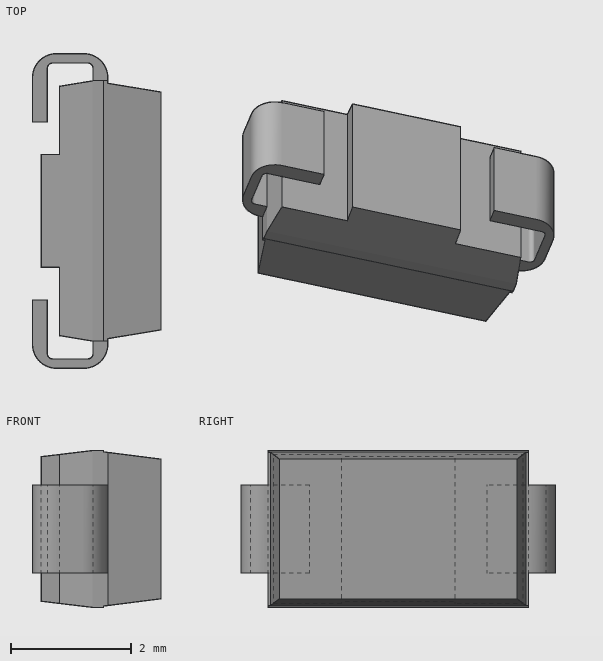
import cadquery as cq

total_length = 5.21
total_height = 2.13

belt_length = 4.31
belt_width = 2.60
belt_start = 1.00
belt_thickness = 0.18
end_slope = 0.165
front_side_slope = 0.120
back_side_slope = 0.127
pedestal_front = 0.145
pedestal_length = 1.87
body_front = 0.445

lead_width = 1.46
lead_thickness = 0.25
web_thickness = 0.16
foot_length = 1.135
outer_bend_radius = 0.40
inner_bend_radius = 0.08

lead_exit_back = belt_start + lead_thickness


def rectangle_at(x, length, width):
    """Return a Y by Z rectangle wire in the plane at height x."""
    return cq.Workplane("YZ", origin=(x, 0, 0)).rect(length, width).val()


def tapered_block(x_far, y_slope, z_slope):
    """Block that narrows from the belt section to x_far by the given slopes."""
    run = abs(x_far - belt_start)
    base = rectangle_at(belt_start, belt_length, belt_width)
    far_length = belt_length - 2 * run * y_slope
    far_width = belt_width - 2 * run * z_slope
    far = rectangle_at(x_far, far_length, far_width)
    return cq.Workplane(cq.Solid.makeLoft([base, far], True))


def slab(x_start, x_end, length, width):
    """Box centered on the X axis between two heights."""
    return cq.Workplane("YZ", origin=(x_start, 0, 0)).rect(length, width).extrude(x_end - x_start)


def make_front_half():
    """Front taper, cut back at both ends to leave the middle pedestal."""
    block = tapered_block(pedestal_front, end_slope, front_side_slope)
    front_layer = slab(pedestal_front, body_front, belt_length, belt_width)
    pedestal = slab(pedestal_front, body_front, pedestal_length, belt_width)
    return block.cut(front_layer.cut(pedestal))


def make_body():
    """Two tapers joined by the belt, with a flat landing behind each lead exit."""
    belt = slab(belt_start, belt_start + belt_thickness, belt_length, belt_width)
    landing = tapered_block(lead_exit_back, 0, back_side_slope)
    back_half = tapered_block(total_height, end_slope, back_side_slope)
    return make_front_half().union(belt).union(back_half).union(landing)


def make_lead():
    """C-shaped lead on the +Y end: exit arm, outer web and inward foot."""
    outer_y = total_length / 2
    inner_y = outer_y - web_thickness
    body_end_y = belt_length / 2
    foot_end_y = outer_y - foot_length
    profile = (
        cq.Workplane("XY", origin=(0, 0, -lead_width / 2))
        .moveTo(0, foot_end_y)
        .lineTo(0, outer_y - outer_bend_radius)
        .radiusArc((outer_bend_radius, outer_y), outer_bend_radius)
        .lineTo(lead_exit_back - outer_bend_radius, outer_y)
        .radiusArc((lead_exit_back, outer_y - outer_bend_radius), outer_bend_radius)
        .lineTo(lead_exit_back, body_end_y)
        .lineTo(belt_start, body_end_y)
        .lineTo(belt_start, inner_y - inner_bend_radius)
        .radiusArc((belt_start - inner_bend_radius, inner_y), -inner_bend_radius)
        .lineTo(lead_thickness + inner_bend_radius, inner_y)
        .radiusArc((lead_thickness, inner_y - inner_bend_radius), -inner_bend_radius)
        .lineTo(lead_thickness, foot_end_y)
        .close()
    )
    return profile.extrude(lead_width)


lead = make_lead()
result = make_body().union(lead).union(lead.mirror("XZ"))